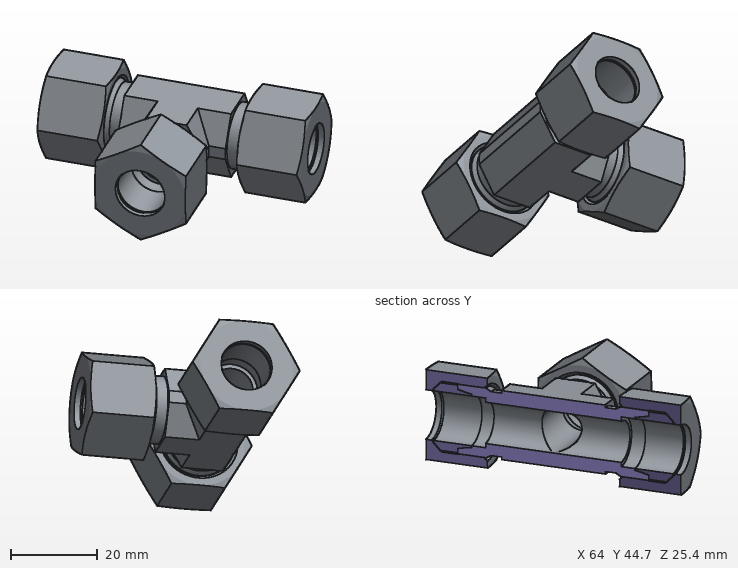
import cadquery as cq
import math


end_reach = 32.0
tube_radius = 6.0
thread_radius = 8.6

nut_flats = 22.0
nut_length = 15.5
nut_chamfer_angle = 15
nut_mouth_radius = 9.3
nut_hole_length = 1.5

ring_gap = 0.5
ring_head_radius = 8.3
ring_mouth_radius = 7.2
ring_tip_length = 3.5
ring_tip_angle = 12

block_height = 16.95
block_width = 17.9
block_reach = 13.0
neck_radius = 7.9
neck_flare = 0.9
neck_flare_angle = 30
flow_radius = 5.0
body_reach = 24.0
tube_stop = 17.0

nut_back = end_reach - nut_length
nut_hole_end = end_reach - nut_hole_length
ring_front = nut_hole_end - ring_gap
ring_tip = body_reach - ring_tip_length
flare_start = nut_back - neck_flare
flare_end = flare_start + (thread_radius - neck_radius) / math.tan(math.radians(neck_flare_angle))

ring_front_radius = tube_radius + ring_gap
ring_tip_radius = ring_mouth_radius - ring_tip_length * math.tan(math.radians(ring_tip_angle))

arms = [(0, 0), (180, 0), (-90, 90)]


def revolve_about_x(points):
    """Solid of revolution about the X axis from (x, radius) points."""
    return cq.Workplane("XY").polyline(points).close().revolve(360, (0, 0, 0), (1, 0, 0))


def make_arm_block():
    """Forged arm along +X: a hexagon bar with its two side corners cut off."""
    half_height = block_height / 2
    half_width = block_width / 2
    half_top = half_height / math.sqrt(3)
    cut_height = half_height - (half_width - half_top) * math.sqrt(3)
    upper = [
        (-half_width, cut_height),
        (-half_top, half_height),
        (half_top, half_height),
        (half_width, cut_height),
    ]
    lower = [(-y, -z) for y, z in upper]
    return cq.Workplane("YZ").polyline(upper + lower).close().extrude(block_reach)


def make_arm_neck():
    """Round neck along +X that flares out to the threaded end."""
    return revolve_about_x([
        (0, 0),
        (0, neck_radius),
        (flare_start, neck_radius),
        (flare_end, thread_radius),
        (body_reach, thread_radius),
        (body_reach, 0),
    ])


def make_arm_bore():
    """Flow bore, tube socket and tapered ring seat along +X."""
    return revolve_about_x([
        (0, 0),
        (0, flow_radius),
        (tube_stop, flow_radius),
        (tube_stop, tube_radius),
        (ring_tip, tube_radius),
        (ring_tip, ring_tip_radius),
        (body_reach, ring_mouth_radius),
        (body_reach, 0),
    ])


def turn(part, angle):
    """Swing a part made along +X onto another arm."""
    return part.rotate((0, 0, 0), (0, 0, 1), angle)


def make_tee_body():
    body = cq.Workplane("XY")
    for angle, _ in arms:
        body = body.union(turn(make_arm_block(), angle))
        body = body.union(turn(make_arm_neck(), angle))
    for angle, _ in arms:
        body = body.cut(turn(make_arm_bore(), angle))
    return body


def make_nut():
    """Nut along +X with corners at +Y and -Y, chamfered at both ends."""
    corner_radius = nut_flats / math.sqrt(3)
    flat_radius = nut_flats / 2
    chamfer_length = (corner_radius - flat_radius) * math.tan(math.radians(nut_chamfer_angle))
    hexagon = (
        cq.Workplane("YZ", origin=(nut_back, 0, 0))
        .polygon(6, 2 * corner_radius)
        .extrude(nut_length)
    )
    chamfered_envelope = revolve_about_x([
        (nut_back, 0),
        (nut_back, flat_radius),
        (nut_back + chamfer_length, corner_radius),
        (end_reach - chamfer_length, corner_radius),
        (end_reach, flat_radius),
        (end_reach, 0),
    ])
    cone_length = thread_radius - tube_radius
    bore = revolve_about_x([
        (nut_back, 0),
        (nut_back, nut_mouth_radius),
        (nut_back + nut_mouth_radius - thread_radius, thread_radius),
        (nut_hole_end - cone_length, thread_radius),
        (nut_hole_end, tube_radius),
        (end_reach, tube_radius),
        (end_reach, 0),
    ])
    return hexagon.intersect(chamfered_envelope).cut(bore)


def make_cutting_ring():
    """Ring along +X: 45 degree head under the nut cone, tapered tip in the body."""
    head_cone_length = ring_head_radius - ring_front_radius
    return revolve_about_x([
        (ring_front, tube_radius),
        (ring_front, ring_front_radius),
        (ring_front - head_cone_length, ring_head_radius),
        (body_reach, ring_head_radius),
        (body_reach, ring_mouth_radius),
        (ring_tip, ring_tip_radius),
        (ring_tip, tube_radius),
    ])


tee_body = make_tee_body()
nuts = []
cutting_rings = []
for arm_angle, nut_roll in arms:
    rolled_nut = make_nut().rotate((0, 0, 0), (1, 0, 0), nut_roll)
    nuts.append(turn(rolled_nut, arm_angle).val())
    cutting_rings.append(turn(make_cutting_ring(), arm_angle).val())

result = cq.Compound.makeCompound([tee_body.val(), *nuts, *cutting_rings])